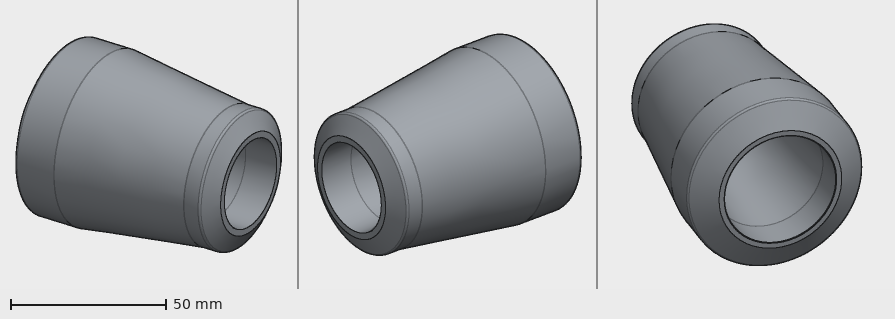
import cadquery as cq
import math

length = 76.0
large_end = 20.0
small_start = 66.1

large_radius = 60.3 / 2
small_radius = 48.3 / 2
large_face_radius = 42.25 / 2
small_face_radius = 35.1 / 2
bevel_angle = 60.0
edge_round = 1.0

large_bore_radius = 38.3 / 2
small_bore_radius = 30.7 / 2
bore_land = 12.0
mouth_chamfer = 0.2


def bevel_length(outer_radius, face_radius):
    """Axial length of a bevel between a cylinder and an end face."""
    return (outer_radius - face_radius) / math.tan(math.radians(bevel_angle))


def outer_body():
    """Solid of revolution with bevelled ends and rounded outer corners."""
    large_bevel = bevel_length(large_radius, large_face_radius)
    small_bevel = bevel_length(small_radius, small_face_radius)
    body = (
        cq.Workplane("XY")
        .lineTo(0, large_face_radius)
        .lineTo(large_bevel, large_radius)
        .lineTo(large_end, large_radius)
        .lineTo(small_start, small_radius)
        .lineTo(length - small_bevel, small_radius)
        .lineTo(length, small_face_radius)
        .lineTo(length, 0)
        .close()
        .revolve(360, (0, 0, 0), (1, 0, 0))
    )
    outer_corners = cq.selectors.BoxSelector(
        (edge_round, -large_radius, -large_radius),
        (length - edge_round, large_radius, large_radius),
    )
    return body.edges("%CIRCLE").edges(outer_corners).fillet(edge_round)


def bore():
    """Through bore: chamfered large end, conical middle, straight small end."""
    return (
        cq.Workplane("XY")
        .lineTo(0, large_bore_radius + mouth_chamfer)
        .lineTo(mouth_chamfer, large_bore_radius)
        .lineTo(bore_land, large_bore_radius)
        .lineTo(length - bore_land, small_bore_radius)
        .lineTo(length, small_bore_radius)
        .lineTo(length, 0)
        .close()
        .revolve(360, (0, 0, 0), (1, 0, 0))
    )


result = outer_body().cut(bore())